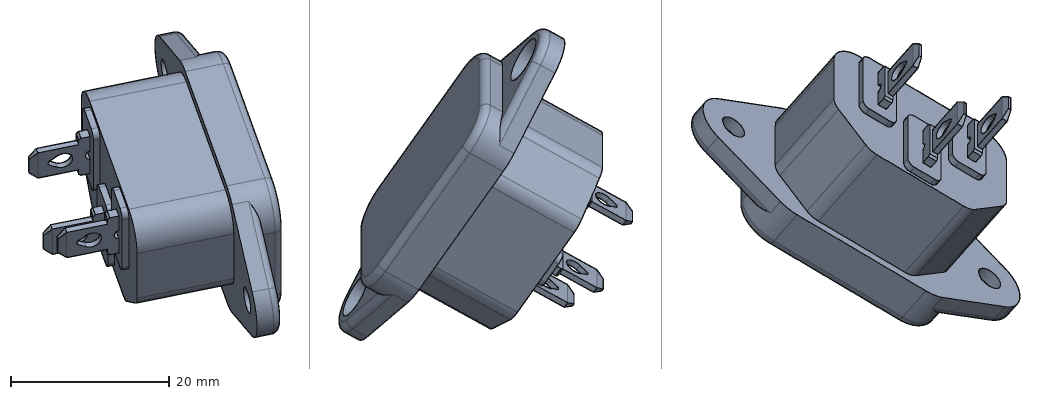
import cadquery as cq
import math


total_length = 49.5
flange_height = 22.0
flange_thickness = 6.05
plate_width = 30.0
corner_radius = 4.95
ear_thickness = 3.2
edge_round = 1.05
screw_hole_spacing = 40.0
screw_hole_diameter = 3.4
countersink_depth = 1.5
countersink_diameter = 6.0
screw_hole_places = [(-screw_hole_spacing / 2, 0), (screw_hole_spacing / 2, 0)]

housing_width = 27.0
housing_height = 19.25
housing_depth = 12.65
housing_top_radius = 4.0
housing_slope_leg = 5.7
housing_slope_radius = 2.48

pad_width = 5.2
pad_height = 11.2
pad_thickness = 0.9
pad_corner_radius = 1.05
power_offset_x = 7.0
pad_offset_z = 3.45
pad_places = [
    (-power_offset_x, pad_offset_z),
    (power_offset_x, pad_offset_z),
    (0, -pad_offset_z),
]

foot_width = 7.05
foot_length = 1.5
foot_thickness = 1.25
foot_chamfer = 0.3
terminal_side_x = 1.0
blade_width = 4.8
blade_length = 6.45
blade_thickness = 0.8
tip_length = 1.1
tip_taper = 0.2
notch_radius = 0.8
power_notch_inset = 0.2
ground_notch_inset = 0.45
notch_insets = [power_notch_inset, power_notch_inset, ground_notch_inset]

eye_radius = 1.3
eye_tip_radius = 0.45
eye_tip_distance = 1.5
eye_from_foot = 2.1

housing_face_y = -housing_depth
pad_face_y = housing_face_y - pad_thickness
foot_end_y = pad_face_y - foot_length
blade_end_y = foot_end_y - blade_length


def front_plane(y):
    """Sketch plane at the given Y, with local X = X, local Y = Z, extruding toward -Y."""
    return cq.Workplane("XZ", origin=(0, y, 0))


def side_plane(x):
    """Sketch plane at the given X, with local X = Y, local Y = Z, extruding toward +X."""
    return cq.Workplane("YZ", origin=(x, 0, 0))


def make_plate():
    return (
        front_plane(flange_thickness)
        .rect(plate_width, flange_height)
        .extrude(flange_thickness)
        .edges("|Y")
        .fillet(corner_radius)
        .faces(">Y")
        .edges()
        .fillet(edge_round)
    )


def make_screw_holes():
    """Cutter for both screw holes, countersunk from the +Y face of the ears."""
    return (
        front_plane(ear_thickness)
        .pushPoints(screw_hole_places)
        .circle(screw_hole_diameter / 2)
        .extrude(ear_thickness)
        .union(make_countersinks())
    )


def make_countersinks():
    flare = (countersink_diameter - screw_hole_diameter) / 2
    flare_angle = math.degrees(math.atan(flare / countersink_depth))
    return (
        front_plane(ear_thickness)
        .pushPoints(screw_hole_places)
        .circle(countersink_diameter / 2)
        .extrude(countersink_depth, taper=flare_angle)
    )


def make_ears():
    """Slab whose outline is a hexagon through the corner centres, grown by the corner radius."""
    end_x = total_length / 2 - corner_radius
    corner_x = plate_width / 2 - corner_radius
    corner_z = flange_height / 2 - corner_radius
    centres = [
        (end_x, 0),
        (corner_x, corner_z),
        (-corner_x, corner_z),
        (-end_x, 0),
        (-corner_x, -corner_z),
        (corner_x, -corner_z),
    ]
    slab = (
        front_plane(ear_thickness)
        .polyline(centres)
        .close()
        .offset2D(corner_radius, "arc")
        .extrude(ear_thickness)
    )
    return slab.faces(">Y").edges().fillet(edge_round).cut(make_screw_holes())


def make_housing_block():
    half_width = housing_width / 2
    half_height = housing_height / 2
    slope_top_z = -half_height + housing_slope_leg
    slope_bottom_x = half_width - housing_slope_leg
    outline = [
        (-half_width, half_height),
        (half_width, half_height),
        (half_width, slope_top_z),
        (slope_bottom_x, -half_height),
        (-slope_bottom_x, -half_height),
        (-half_width, slope_top_z),
    ]
    block = front_plane(0).polyline(outline).close().extrude(housing_depth)
    block = block.edges("|Y and >Z").fillet(housing_top_radius)
    for corner_x, corner_z in outline[2:]:
        slope_edge = cq.selectors.NearestToPointSelector((corner_x, -housing_depth / 2, corner_z))
        block = block.edges(slope_edge).fillet(housing_slope_radius)
    return block


def make_pads():
    return (
        front_plane(housing_face_y)
        .pushPoints(pad_places)
        .rect(pad_width, pad_height)
        .extrude(pad_thickness)
        .edges("|Y")
        .fillet(pad_corner_radius)
    )


def make_housing():
    flange = make_plate().union(make_ears())
    return flange.union(make_housing_block()).union(make_pads())


def make_foot(notch_inset):
    foot = (
        front_plane(pad_face_y)
        .center(terminal_side_x - foot_thickness / 2, 0)
        .rect(foot_thickness, foot_width)
        .extrude(foot_length)
        .faces("<Y")
        .edges("|X")
        .chamfer(foot_chamfer)
    )
    notch = (
        side_plane(terminal_side_x - foot_thickness)
        .center(pad_face_y + notch_inset, 0)
        .circle(notch_radius)
        .extrude(foot_thickness)
    )
    return foot.cut(notch)


def make_eye():
    """Teardrop cutter: two rounds joined by their common tangents."""
    centre_y = foot_end_y - eye_from_foot
    tip_y = centre_y - eye_tip_distance
    lean = (eye_radius - eye_tip_radius) / eye_tip_distance
    rise = math.sqrt(1 - lean**2)
    big_tangent_y = centre_y - eye_radius * lean
    big_tangent_z = eye_radius * rise
    tip_tangent_y = tip_y - eye_tip_radius * lean
    tip_tangent_z = eye_tip_radius * rise
    return (
        side_plane(terminal_side_x - blade_thickness)
        .moveTo(big_tangent_y, big_tangent_z)
        .threePointArc((centre_y + eye_radius, 0), (big_tangent_y, -big_tangent_z))
        .lineTo(tip_tangent_y, -tip_tangent_z)
        .threePointArc((tip_y - eye_tip_radius, 0), (tip_tangent_y, tip_tangent_z))
        .close()
        .extrude(blade_thickness)
    )


def make_blade():
    blade = (
        front_plane(foot_end_y)
        .center(terminal_side_x - blade_thickness / 2, 0)
        .rect(blade_thickness, blade_width)
        .extrude(blade_length)
    )
    blade = blade.edges("|X and <Y").chamfer(tip_length)
    inner_x = terminal_side_x - blade_thickness
    tip_start_y = blade_end_y + tip_length
    thickness_profile = (
        cq.Workplane("XY", origin=(0, 0, -blade_width / 2))
        .polyline([
            (inner_x, foot_end_y),
            (inner_x, tip_start_y),
            (inner_x + tip_taper, blade_end_y),
            (terminal_side_x - tip_taper, blade_end_y),
            (terminal_side_x, tip_start_y),
            (terminal_side_x, foot_end_y),
        ])
        .close()
        .extrude(blade_width)
    )
    return blade.intersect(thickness_profile).cut(make_eye())


def make_terminal(x, z, notch_inset):
    return make_foot(notch_inset).union(make_blade()).translate((x, 0, z))


housing = make_housing()
terminals = [make_terminal(x, z, inset) for (x, z), inset in zip(pad_places, notch_insets)]

result = cq.Compound.makeCompound([housing.val(), *[terminal.val() for terminal in terminals]])